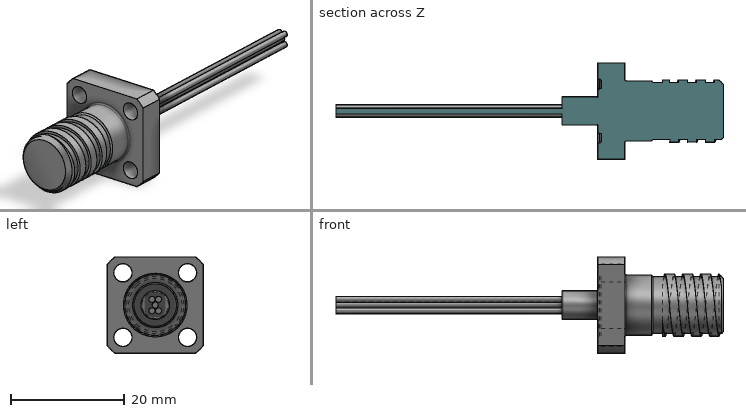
import cadquery as cq
import math

flange_size = 17.02
flange_thickness = 4.8
flange_corner_diameter = 22.2
mounting_hole_diameter = 3.17
mounting_hole_spacing = 11.4

ring_groove_outer_diameter = 11.25
ring_groove_inner_diameter = 8.0
ring_groove_depth = 0.6
ring_groove_bevel = 0.25

sleeve_diameter = 5.08
sleeve_length = 6.35
sleeve_fillet = 0.2
wire_length = 39.85
wire_diameter = 1.07
wire_gap = 0.1
wire_pitch = wire_diameter + wire_gap
wire_embedding = 1.0
outer_wire_angles = (60, 120, 240, 300)

overall_length = 68.4
barrel_end = overall_length - wire_length - sleeve_length
barrel_root_fillet = 0.29
shoulder_diameter = 10.67
shoulder_end = 9.75
core_diameter = 10.1
barrel_tip_diameter = 9.4

thread_diameter = 11.05
thread_start = 11.4
thread_lead = 3.175
thread_crest_width = 1.62
thread_crest_position = 14.27
thread_root_overlap = 0.1


def rod(diameter, start, end, y=0, z=0):
    """Solid cylinder parallel to X between two X positions."""
    return cq.Workplane("YZ", origin=(start, y, z)).circle(diameter / 2).extrude(end - start)


def make_flange():
    """Square flange with rounded-off corners, four mounting holes and a rear ring groove."""
    flange = (
        cq.Workplane("YZ")
        .rect(flange_size, flange_size)
        .extrude(flange_thickness)
        .intersect(rod(flange_corner_diameter, 0, flange_thickness))
    )
    holes = (
        cq.Workplane("YZ")
        .rect(mounting_hole_spacing, mounting_hole_spacing, forConstruction=True)
        .vertices()
        .circle(mounting_hole_diameter / 2)
        .extrude(flange_thickness)
    )
    groove_blank = rod(ring_groove_outer_diameter, 0, ring_groove_depth)
    groove_blank = groove_blank.faces(">X").edges().chamfer(ring_groove_bevel)
    island = rod(ring_groove_inner_diameter, 0, ring_groove_depth)
    island = island.faces("<X").edges().chamfer(ring_groove_bevel)
    ring_groove = groove_blank.cut(island)
    return flange.cut(holes).cut(ring_groove)


def make_sleeve():
    """Rear sleeve, rounded at both ends."""
    return rod(sleeve_diameter, -sleeve_length, 0).edges("%CIRCLE").fillet(sleeve_fillet)


def make_wires():
    """One centre wire and four outer wires placed on a hexagonal pitch, parallel to X."""
    start = -sleeve_length - wire_length
    end = -sleeve_length + wire_embedding
    wires = rod(wire_diameter, start, end)
    for angle in outer_wire_angles:
        y = wire_pitch * math.cos(math.radians(angle))
        z = wire_pitch * math.sin(math.radians(angle))
        wires = wires.union(rod(wire_diameter, start, end, y, z))
    return wires


def make_thread_ridge():
    """Right-handed square ridge around the core, trimmed square at both ends of the thread."""
    inner_radius = core_diameter / 2 - thread_root_overlap
    outer_radius = thread_diameter / 2
    helix_start = thread_crest_position - 2 * thread_lead
    helix_length = barrel_end + thread_lead - helix_start
    helix = cq.Wire.makeHelix(thread_lead, helix_length, inner_radius)
    ridge = (
        cq.Workplane("XZ")
        .center((inner_radius + outer_radius) / 2, 0)
        .rect(outer_radius - inner_radius, thread_crest_width)
        .sweep(cq.Workplane(obj=helix), isFrenet=True)
        .rotate((0, 0, 0), (0, 1, 0), 90)
        .translate((helix_start, 0, 0))
    )
    trim_size = 2 * thread_diameter
    trim = (
        cq.Workplane("YZ", origin=(thread_start, 0, 0))
        .rect(trim_size, trim_size)
        .extrude(barrel_end - thread_start)
    )
    return ridge.intersect(trim)


def make_tip_bevel():
    """Ring cutter that bevels the core and the thread to the tip diameter at 45 degrees."""
    tip_radius = barrel_tip_diameter / 2
    bevel_size = thread_diameter / 2
    return (
        cq.Workplane("XY")
        .moveTo(barrel_end, tip_radius)
        .lineTo(barrel_end, tip_radius + bevel_size)
        .lineTo(barrel_end - bevel_size, tip_radius + bevel_size)
        .close()
        .revolve(360, (0, 0, 0), (1, 0, 0))
    )


def make_shoulder():
    """Plain barrel length with a root fillet at the flange and a bevel down to the core diameter."""
    radius = shoulder_diameter / 2
    core_radius = core_diameter / 2
    bevel = radius - core_radius
    return (
        cq.Workplane("XY")
        .moveTo(flange_thickness, 0)
        .lineTo(flange_thickness, radius + barrel_root_fillet)
        .radiusArc((flange_thickness + barrel_root_fillet, radius), -barrel_root_fillet)
        .lineTo(shoulder_end - bevel, radius)
        .lineTo(shoulder_end, core_radius)
        .lineTo(shoulder_end, 0)
        .close()
        .revolve(360, (0, 0, 0), (1, 0, 0))
    )


def make_barrel():
    """Threaded front barrel with its bevelled tip and plain shoulder."""
    core = rod(core_diameter, flange_thickness, barrel_end)
    return core.union(make_thread_ridge()).cut(make_tip_bevel()).union(make_shoulder())


result = (
    make_flange()
    .union(make_sleeve())
    .union(make_wires())
    .union(make_barrel())
)